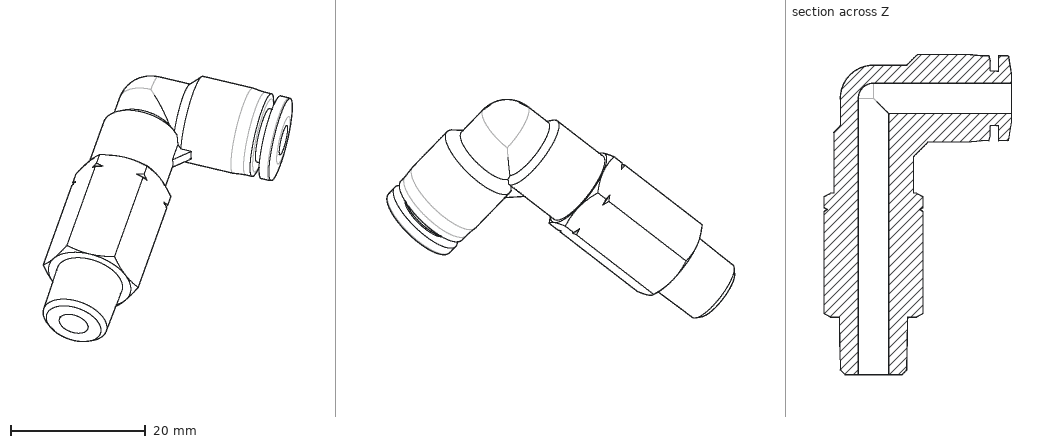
import cadquery as cq
import math


bend_radius = 4.95
body_radius = 6.5
body_cone_end = body_radius
body_taper_start = 14.25
body_taper_end = 16.15
body_bevel_start = 17.15
body_end = 17.35
body_taper_radius = 6.3
body_face_radius = 5.55

neck_radius = 4.1
neck_step = 18.3
neck_step_radius = 4.05
collar_start = 18.52
collar_edge_start = 19.85
collar_rim = 20.05
collar_end = 20.45
collar_radius = 6.3
collar_rim_radius = 6.25
collar_face_radius = 3.6

stem_radius = 5.95
stem_chamfer_start = 4.05
stem_chamfer_end = stem_chamfer_start + stem_radius - bend_radius
nut_start = 14.0
nut_end = 32.5
nut_flats = 12.75
nut_corner_radius = nut_flats / math.sqrt(3)
nut_chamfer_angle = 30.0
total_length = 47.5
thread_end = total_length - body_radius
thread_top_radius = 5.1
thread_tip_radius = 4.95
thread_chamfer = 0.7

groove_centre = 16.5
groove_half_width = 0.3
groove_depth = 0.48

web_thickness = 1.9
web_reach = 14.6

bore_radius = 2.25


def revolve_x(points):
    """Revolve (along, radius) points about the X axis."""
    return cq.Workplane("XY").polyline(points).close().revolve(360, (0, 0), (1, 0))


def revolve_stem(points):
    """Revolve (radius, distance) points about the stem axis, pointing along -Y."""
    profile = [(radius, -distance) for radius, distance in points]
    return cq.Workplane("XY").polyline(profile).close().revolve(360, (0, 0), (0, 1))


def make_tube_body():
    return revolve_x([
        (0, 0),
        (0, bend_radius),
        (bend_radius, bend_radius),
        (body_cone_end, body_radius),
        (body_taper_start, body_radius),
        (body_taper_end, body_taper_radius),
        (body_bevel_start, body_taper_radius),
        (body_end, body_face_radius),
        (body_end, neck_radius),
        (neck_step, neck_radius),
        (neck_step, neck_step_radius),
        (collar_start, neck_step_radius),
        (collar_start, collar_radius),
        (collar_edge_start, collar_radius),
        (collar_rim, collar_rim_radius),
        (collar_end, collar_face_radius),
        (collar_end, 0),
    ])


def make_stem():
    return revolve_stem([
        (0, 0),
        (bend_radius, 0),
        (bend_radius, stem_chamfer_start),
        (stem_radius, stem_chamfer_end),
        (stem_radius, nut_start),
        (thread_top_radius, nut_end),
        (thread_tip_radius, thread_end - thread_chamfer),
        (thread_tip_radius - thread_chamfer, thread_end),
        (0, thread_end),
    ])


def make_nut():
    hexagon = (
        cq.Workplane("XZ", origin=(0, -nut_start, 0))
        .polygon(6, 2 * nut_corner_radius)
        .extrude(nut_end - nut_start)
    )
    flat_radius = nut_flats / 2
    chamfer_length = (nut_corner_radius - flat_radius) * math.tan(math.radians(nut_chamfer_angle))
    envelope = revolve_stem([
        (0, nut_start),
        (flat_radius, nut_start),
        (nut_corner_radius, nut_start + chamfer_length),
        (nut_corner_radius, groove_centre - groove_half_width),
        (nut_corner_radius - groove_depth, groove_centre),
        (nut_corner_radius, groove_centre + groove_half_width),
        (nut_corner_radius, nut_end - chamfer_length),
        (flat_radius, nut_end),
        (0, nut_end),
    ])
    return hexagon.intersect(envelope)


def make_web():
    return (
        cq.Workplane("XY")
        .polyline([(0, 0), (web_reach, 0), (0, -web_reach)])
        .close()
        .extrude(web_thickness / 2, both=True)
        .intersect(cq.Workplane("XY").box(2 * body_taper_start, 2 * nut_start, web_thickness))
    )


def make_bore():
    stem_bore = cq.Workplane("XZ").circle(bore_radius).extrude(thread_end)
    tube_bore = cq.Workplane("YZ").circle(bore_radius).extrude(collar_end)
    return stem_bore.union(tube_bore).union(cq.Workplane("XY").sphere(bore_radius))


bend = cq.Workplane("XY").sphere(bend_radius)
solid = make_tube_body().union(make_stem()).union(bend).union(make_nut()).union(make_web())
result = solid.cut(make_bore())